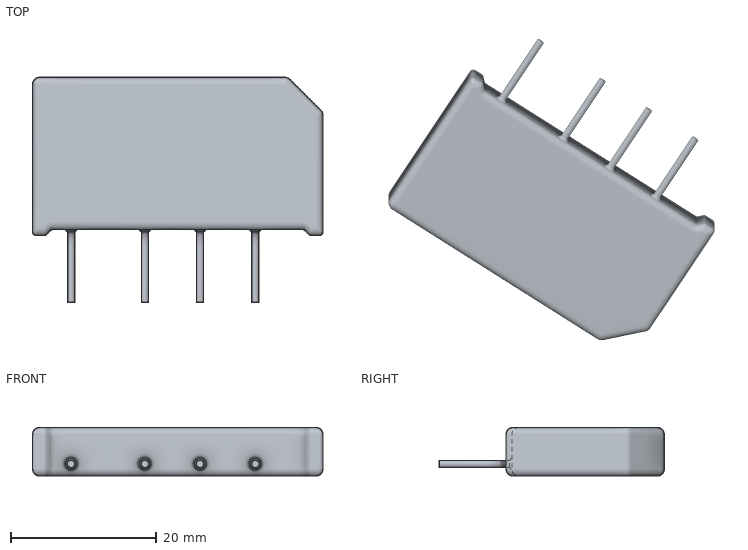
import cadquery as cq

body_length = 40.0
body_depth = 21.8
body_height = 6.7
back_chamfer = 4.85
rim_radius = 1.0

foot_height = 0.8
foot_width = 1.8
foot_slope_run = 0.8
foot_radius = rim_radius / 2

pin_positions = (-14.7, -4.5, 3.1, 10.7)
pin_diameter = 1.0
pin_length = 10.0
pin_axis_height = 1.7
pin_embed = 0.4
collar_diameter = 1.65
collar_length = 0.3

half_length = body_length / 2
foot_root = foot_width + foot_slope_run


def vertical_edges_at(body, points):
    """Edges running up the body whose middle lies closest to the given plan points."""
    edges = []
    for x, y in points:
        nearest = cq.selectors.NearestToPointSelector((x, y, body_height / 2))
        edges.append(body.edges(nearest).val())
    return body.newObject(edges)


def make_body():
    outline = [
        (-half_length, 0),
        (-half_length + foot_width, 0),
        (-half_length + foot_root, foot_height),
        (half_length - foot_root, foot_height),
        (half_length - foot_width, 0),
        (half_length, 0),
        (half_length, body_depth - back_chamfer),
        (half_length - back_chamfer, body_depth),
        (-half_length, body_depth),
    ]
    recess_roots = outline[2:4]
    foot_corners = outline[:2] + outline[4:6]
    back_corners = outline[6:]

    body = cq.Workplane("XY").polyline(outline).close().extrude(body_height)
    body = vertical_edges_at(body, back_corners).fillet(rim_radius)
    body = vertical_edges_at(body, recess_roots).fillet(foot_radius)
    body = body.faces("<Z or >Z").edges().fillet(rim_radius)
    return vertical_edges_at(body, foot_corners).fillet(foot_radius)


def make_pin(x):
    """Round pin with a conical collar where it leaves the recess face."""
    pin_radius = pin_diameter / 2
    collar_radius = collar_diameter / 2
    half_section = [
        (0, -pin_embed),
        (collar_radius, -pin_embed),
        (collar_radius, 0),
        (pin_radius, collar_length),
        (pin_radius, pin_length),
        (0, pin_length),
    ]
    pin = cq.Workplane("XY").polyline(half_section).close().revolve(360, (0, 0), (0, 1))
    pin = pin.rotate((0, 0, 0), (0, 0, 1), 180)
    return pin.translate((x, foot_height, pin_axis_height))


result = make_body()
for position in pin_positions:
    result = result.union(make_pin(position))